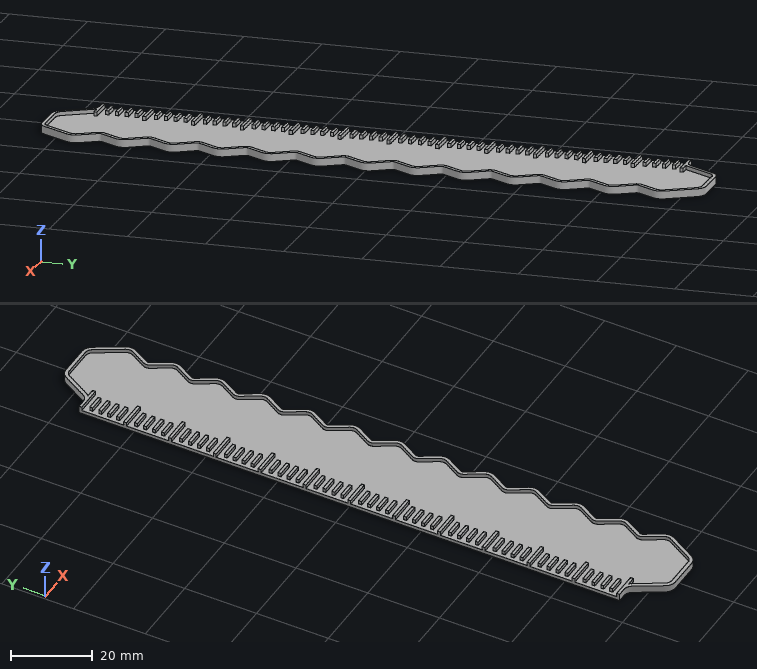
import cadquery as cq
import math

length = 170.0
hexagon_height = 20.0
label_count = 13
ticks_per_label = 5
thickness = 2.0
floor_height = 1.0
rim_width = 1.0
scale_edge_x = -15.0
corner_radius = 3.0
root_radius = 2.4
notch_radius = 0.8

tick_width = 0.82
major_tick_length = 7.0
minor_tick_inset = 1.0
minor_tick_end = 5.3

label_pitch = (length - hexagon_height) / (label_count - 1)
tick_count = (label_count - 1) * ticks_per_label + 1
tick_pitch = label_pitch / ticks_per_label
scale_length = (label_count - 1) * label_pitch
label_positions = [i * label_pitch - scale_length / 2 for i in range(label_count)]
strip_length = scale_length + tick_width
hexagon_diameter = hexagon_height / math.cos(math.radians(30))


def block(x_start, x_end, y_center, y_size, z_start, z_end):
    """Rectangular block between two X and two Z positions, centred on y_center."""
    return cq.Workplane("XY").box(
        x_end - x_start, y_size, z_end - z_start, centered=(False, True, False)
    ).translate((x_start, y_center, z_start))


def hexagon_row():
    """Overlapping hexagons at the label pitch, joined on the left by the scale strip."""
    row = block(scale_edge_x, 0, 0, strip_length, 0, thickness)
    for y in label_positions:
        hexagon = cq.Workplane("XY").center(0, y).polygon(6, hexagon_diameter).extrude(thickness)
        row = row.union(hexagon)
    return row


def fillet_at(body, points, radius):
    """Round the vertical edges standing on the given points."""
    reach = 0.02
    selector = None
    for x, y in points:
        box = cq.selectors.BoxSelector(
            (x - reach, y - reach, 0), (x + reach, y + reach, thickness)
        )
        selector = box if selector is None else selector + box
    return body.edges("|Z").edges(selector).fillet(radius)


def blank():
    """Full-height outline with every hexagon corner, notch and root rounded."""
    half_side = hexagon_diameter / 4
    tip = hexagon_diameter / 2
    slope = math.tan(math.radians(30))
    notch_x = tip - label_pitch / 2 * slope
    root_x = -tip + tick_width / 2 * slope
    tips = [(tip, y) for y in label_positions]
    notches = [(notch_x, y + label_pitch / 2) for y in label_positions[:-1]]
    ends = [(x, y) for x in (-half_side, half_side) for y in (-length / 2, length / 2)]
    roots = [(root_x, y) for y in (-strip_length / 2, strip_length / 2)]
    body = fillet_at(hexagon_row(), tips + ends, corner_radius)
    body = fillet_at(body, notches, notch_radius)
    return fillet_at(body, roots, root_radius)


def recess(body):
    """Pocket inside the rim, running out over the scale strip to the measuring edge."""
    outline = body.faces("<Z").wires().val()
    inner = cq.Workplane("XY").add(outline).toPending().offset2D(-rim_width).extrude(thickness)
    strip = block(scale_edge_x, 0, 0, scale_length, 0, thickness)
    return inner.union(strip).translate((0, 0, floor_height))


def ticks():
    """Raised graduations, with every fifth one reaching from the edge to its label."""
    marks = cq.Workplane("XY")
    for i in range(tick_count):
        y = i * tick_pitch - scale_length / 2
        if i % ticks_per_label == 0:
            start, end = 0, major_tick_length
        else:
            start, end = minor_tick_inset, minor_tick_end
        mark = block(scale_edge_x + start, scale_edge_x + end, y, tick_width, 0, thickness)
        marks = marks.add(mark)
    return marks.combine()


body = blank()
result = body.cut(recess(body)).union(ticks())